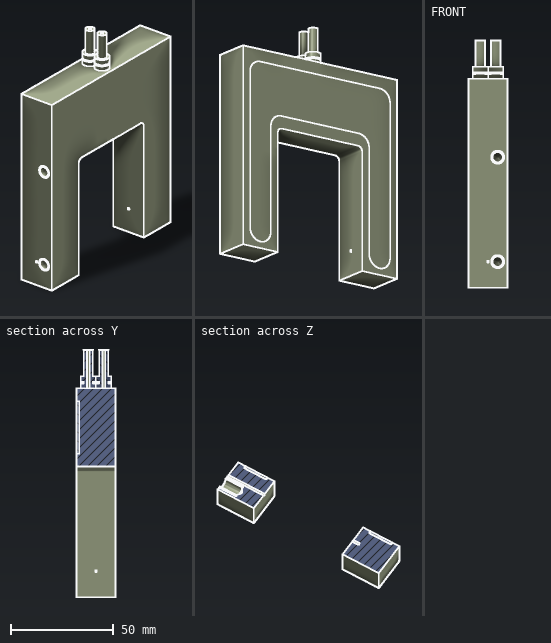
import cadquery as cq
import math

TOTAL_HEIGHT = 120.2
HOUSING_HEIGHT = 101.6
HOUSING_THICKNESS = 19.0
HOUSING_DEPTH = 92.7
GAP_WIDTH = 50.7
GAP_HEIGHT = 63.5
GAP_CORNER_RADIUS = 2.5
LEG_WIDTH = (HOUSING_DEPTH - GAP_WIDTH) / 2
FRONT_Y = -HOUSING_DEPTH / 2
SIDE_X = -HOUSING_THICKNESS / 2

COVER_SIDE_MARGIN = 4.2
COVER_END_MARGIN = 6.4
COVER_LEG_END_MARGIN = 3.4
COVER_CORNER_RADIUS = 6.2
COVER_THICKNESS = 1.2

INSERT_OUTER_DIAMETER = 6.4
INSERT_BORE_DIAMETER = 5.0
INSERT_LENGTH = 9.6
INSERT_X = 4.7
INSERT_LOWER_Z = 12.7
INSERT_SPACING = 50.7
INSERT_HEIGHTS = (INSERT_LOWER_Z, INSERT_LOWER_Z + INSERT_SPACING)
DRILL_POINT_ANGLE = 118.0

LIGHT_HOLE_DIAMETER = 1.0
LIGHT_HOLE_END_DEPTH = 3.6

GLAND_SPACING = 7.6
COLLAR_DIAMETER = 7.5
STEM_DIAMETER = 4.7
LOWER_COLLAR_HEIGHT = 2.4
GROOVE_HEIGHT = 0.7
UPPER_COLLAR_HEIGHT = 2.8
GLAND_BORE_DIAMETER = 1.1


def make_fork(half_depth, top, inner_half_depth, inner_top, bottom, thickness, outer_radius, inner_radius):
    """Fork plate that grows from the -X side of the housing; a zero outer radius keeps its corners sharp."""
    fork = (
        cq.Workplane("YZ", origin=(SIDE_X, 0, 0))
        .moveTo(-half_depth, bottom)
        .lineTo(-half_depth, top)
        .lineTo(half_depth, top)
        .lineTo(half_depth, bottom)
        .lineTo(inner_half_depth, bottom)
        .lineTo(inner_half_depth, inner_top)
        .lineTo(-inner_half_depth, inner_top)
        .lineTo(-inner_half_depth, bottom)
        .close()
        .extrude(thickness)
    )
    fork = fork.faces("<Z[1]").edges("|X").fillet(inner_radius)
    if outer_radius > 0:
        fork = fork.faces(">Z").edges("|X").fillet(outer_radius)
    return fork


def make_cover():
    half_depth = HOUSING_DEPTH / 2 - COVER_SIDE_MARGIN
    inner_half_depth = GAP_WIDTH / 2 + COVER_SIDE_MARGIN
    leg_end_radius = (half_depth - inner_half_depth) / 2
    leg_center_y = (half_depth + inner_half_depth) / 2
    leg_end_z = COVER_LEG_END_MARGIN + leg_end_radius
    plate = make_fork(
        half_depth,
        HOUSING_HEIGHT - COVER_END_MARGIN,
        inner_half_depth,
        GAP_HEIGHT + COVER_END_MARGIN,
        leg_end_z,
        COVER_THICKNESS,
        COVER_CORNER_RADIUS,
        COVER_CORNER_RADIUS,
    )
    leg_ends = (
        cq.Workplane("YZ", origin=(SIDE_X, 0, leg_end_z))
        .pushPoints([(-leg_center_y, 0), (leg_center_y, 0)])
        .circle(leg_end_radius)
        .extrude(COVER_THICKNESS)
    )
    return plate.union(leg_ends)


def make_insert_hole(z):
    """Cylinder that holds the insert, with the drill point of the bore beyond it."""
    bore_radius = INSERT_BORE_DIAMETER / 2
    outer_radius = INSERT_OUTER_DIAMETER / 2
    point_length = bore_radius / math.tan(math.radians(DRILL_POINT_ANGLE / 2))
    return (
        cq.Workplane("XY")
        .lineTo(outer_radius, 0)
        .lineTo(outer_radius, INSERT_LENGTH)
        .lineTo(bore_radius, INSERT_LENGTH)
        .lineTo(0, INSERT_LENGTH + point_length)
        .close()
        .revolve(360, (0, 0, 0), (0, 1, 0))
        .translate((INSERT_X, FRONT_Y, z))
    )


def make_insert(z):
    return (
        cq.Workplane("XZ", origin=(INSERT_X, FRONT_Y, z))
        .circle(INSERT_OUTER_DIAMETER / 2)
        .circle(INSERT_BORE_DIAMETER / 2)
        .extrude(-INSERT_LENGTH)
    )


def make_light_hole():
    length = LEG_WIDTH + GAP_WIDTH + LIGHT_HOLE_END_DEPTH
    return (
        cq.Workplane("XZ", origin=(0, FRONT_Y, INSERT_LOWER_Z))
        .circle(LIGHT_HOLE_DIAMETER / 2)
        .extrude(-length)
    )


def make_housing(cover):
    housing = make_fork(
        HOUSING_DEPTH / 2,
        HOUSING_HEIGHT,
        GAP_WIDTH / 2,
        GAP_HEIGHT,
        0,
        HOUSING_THICKNESS,
        0,
        GAP_CORNER_RADIUS,
    )
    housing = housing.cut(cover).cut(make_light_hole())
    for z in INSERT_HEIGHTS:
        housing = housing.cut(make_insert_hole(z))
    return housing


def make_gland(x):
    """Two collars with a groove between them, and a bored stem that rises to the full height."""
    bore_radius = GLAND_BORE_DIAMETER / 2
    stem_radius = STEM_DIAMETER / 2
    collar_radius = COLLAR_DIAMETER / 2
    groove_bottom = LOWER_COLLAR_HEIGHT
    groove_top = groove_bottom + GROOVE_HEIGHT
    collar_top = groove_top + UPPER_COLLAR_HEIGHT
    stem_top = TOTAL_HEIGHT - HOUSING_HEIGHT
    return (
        cq.Workplane("XZ")
        .moveTo(bore_radius, 0)
        .lineTo(collar_radius, 0)
        .lineTo(collar_radius, groove_bottom)
        .lineTo(stem_radius, groove_bottom)
        .lineTo(stem_radius, groove_top)
        .lineTo(collar_radius, groove_top)
        .lineTo(collar_radius, collar_top)
        .lineTo(stem_radius, collar_top)
        .lineTo(stem_radius, stem_top)
        .lineTo(bore_radius, stem_top)
        .close()
        .revolve(360, (0, 0, 0), (0, 1, 0))
        .translate((x, 0, HOUSING_HEIGHT))
    )


cover = make_cover()
housing = make_housing(cover)
bodies = [housing.solids().val(), cover.solids().val()]
for insert_z in INSERT_HEIGHTS:
    bodies.append(make_insert(insert_z).val())
for gland_x in (-GLAND_SPACING / 2, GLAND_SPACING / 2):
    bodies.append(make_gland(gland_x).val())

result = cq.Compound.makeCompound(bodies)